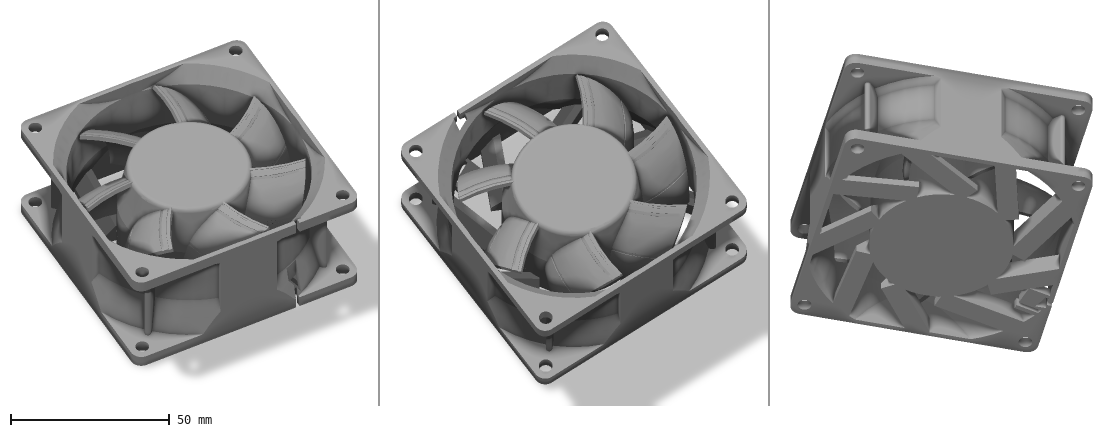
import cadquery as cq
import math

frame_size = 80.2
frame_height = 37.8
frame_corner_radius = 3.6
flange_thickness = 4.0
screw_hole_diameter = 4.3
screw_hole_offset = 35.8
half_size = frame_size / 2
lower_flange_top = flange_thickness
upper_flange_bottom = frame_height - flange_thickness

duct_half_width = 38.5
throat_radius = 38.65
throat_exit_radius = 38.0
duct_mouth_radius = 42.8
inlet_flare_depth = 5.1
outlet_flare_depth = 16.3

duct_outer_radius = 40.0
inlet_outer_radius = 41.8
inlet_outer_start = 31.4
outlet_outer_radius = 43.3

front_panel_half_width = 9.8
front_panel_bevel = 1.9
side_panel_half_width = 10.1

web_thickness = 2.0
web_end_offset = 31.4
web_start_offset = 27.7

cable_channel_bottom = 15.0
cable_channel_top = 19.5
cable_channel_inner_radius = 40.1
cable_slot_center = 17.5
cable_slot_width = 1.2

base_radius = 22.8
base_thickness = 6.4
strut_count = 9
strut_heading = -86.0
strut_near_offset = 18.3
strut_ridge_width = 2.4
strut_width = 6.6
strut_height = 6.4
strut_edge_height = 2.4
strut_end_distance = 10.4

cable_strut_index = 7
guide_rails = [(4.25, 11.2), (12.7, 14.1)]
guide_rail_height = 3.2
guide_rail_start = 33.3

hub_bottom = base_thickness
hub_top = 36.1
hub_taper_bottom = 20.05
hub_bottom_radius = 22.8
hub_top_radius = 19.6
hub_fillet = 1.6
blade_count = 7
blade_tip_radius = 36.7
blade_top = 35.9
blade_bottom = 8.8
blade_thickness = 1.45
blade_camber = 5.6
blade_grooves = [(0.02, 0.04), (0.09, 0.12), (0.53, 0.56)]
blade_groove_depth = 0.25
blade_sections = [(16.0, 1.6, -11.6), (27.7, 5.3, -11.2), (37.7, 11.2, -7.6)]


def revolve_profile(points):
    return cq.Workplane("XZ").polyline(points).close().revolve(360, (0, 0, 0), (0, 1, 0))


def make_flange(bottom):
    return (
        cq.Workplane("XY", origin=(0, 0, bottom))
        .rect(frame_size, frame_size)
        .extrude(flange_thickness)
        .edges("|Z")
        .fillet(frame_corner_radius)
    )


def make_duct_wall():
    return revolve_profile([
        (0, lower_flange_top),
        (outlet_outer_radius, lower_flange_top),
        (duct_outer_radius, outlet_flare_depth),
        (duct_outer_radius, inlet_outer_start),
        (inlet_outer_radius, upper_flange_bottom),
        (0, upper_flange_bottom),
    ])


def make_side_panels():
    height = upper_flange_bottom - lower_flange_top
    level = cq.Workplane("XY", origin=(0, 0, lower_flange_top))
    inner_half_width = front_panel_half_width + front_panel_bevel
    inner_y = half_size - front_panel_bevel
    front_back = (
        level.moveTo(front_panel_half_width, half_size)
        .lineTo(inner_half_width, inner_y)
        .lineTo(inner_half_width, -inner_y)
        .lineTo(front_panel_half_width, -half_size)
        .lineTo(-front_panel_half_width, -half_size)
        .lineTo(-inner_half_width, -inner_y)
        .lineTo(-inner_half_width, inner_y)
        .lineTo(-front_panel_half_width, half_size)
        .close()
        .extrude(height)
    )
    left_right = level.rect(frame_size, 2 * side_panel_half_width).extrude(height)
    return front_back.union(left_right)


def make_corner_web(angle):
    start = web_start_offset * math.sqrt(2)
    end = web_end_offset * math.sqrt(2)
    half = web_thickness / 2
    return (
        cq.Workplane("XY", origin=(0, 0, lower_flange_top))
        .moveTo(start, -half)
        .lineTo(end, -half)
        .threePointArc((end + half, 0), (end, half))
        .lineTo(start, half)
        .close()
        .extrude(upper_flange_bottom - lower_flange_top)
        .rotate((0, 0, 0), (0, 0, 1), angle)
    )


def make_duct_opening():
    inlet_flare_start = frame_height - inlet_flare_depth
    throat = revolve_profile([
        (0, outlet_flare_depth),
        (throat_exit_radius, outlet_flare_depth),
        (throat_radius, inlet_flare_start),
        (throat_radius, frame_height),
        (0, frame_height),
    ])
    outlet_flare = revolve_profile([
        (0, 0),
        (duct_mouth_radius, 0),
        (throat_exit_radius, outlet_flare_depth),
        (0, outlet_flare_depth),
    ])
    inlet_flare = revolve_profile([
        (0, inlet_flare_start),
        (throat_radius, inlet_flare_start),
        (duct_mouth_radius, frame_height),
        (0, frame_height),
    ])
    clip = cq.Workplane("XY").rect(2 * duct_half_width, 2 * duct_half_width).extrude(frame_height)
    return throat.union(outlet_flare.intersect(clip)).union(inlet_flare.intersect(clip))


def make_cable_exit():
    channel = (
        cq.Workplane("XY")
        .center(duct_half_width / 2, (cable_channel_bottom + cable_channel_top) / 2)
        .rect(duct_half_width, cable_channel_top - cable_channel_bottom)
        .extrude(frame_height)
        .cut(cq.Workplane("XY").circle(cable_channel_inner_radius).extrude(frame_height))
    )
    slot = (
        cq.Workplane("XY")
        .center(half_size, cable_slot_center)
        .rect(2 * (half_size - duct_half_width), cable_slot_width)
        .extrude(frame_height)
    )
    return channel.union(slot)


def strut_angle(index):
    return strut_heading + index * 360 / strut_count


def make_strut(index):
    near = -strut_near_offset
    ridge = near - strut_ridge_width
    far = near - strut_width
    return (
        cq.Workplane("YZ", origin=(-duct_mouth_radius, 0, 0))
        .polyline([(near, 0), (near, strut_height), (ridge, strut_height),
                   (far, strut_edge_height), (far, 0)])
        .close()
        .extrude(duct_mouth_radius - strut_end_distance)
        .rotate((0, 0, 0), (0, 0, 1), strut_angle(index))
    )


def make_guide_rail(near, far):
    length = duct_mouth_radius - guide_rail_start
    return (
        cq.Workplane("XY")
        .center(-guide_rail_start - length / 2, -(near + far) / 2)
        .rect(length, far - near)
        .extrude(guide_rail_height)
        .rotate((0, 0, 0), (0, 0, 1), strut_angle(cable_strut_index))
    )


def make_housing():
    body = make_duct_wall().union(make_side_panels())
    body = body.intersect(cq.Workplane("XY").rect(frame_size, frame_size).extrude(frame_height))
    for quarter in range(4):
        body = body.union(make_corner_web(45 + 90 * quarter))
    body = body.union(make_flange(0)).union(make_flange(upper_flange_bottom))
    opening = make_duct_opening()
    body = body.cut(opening)

    stator = cq.Workplane("XY").circle(base_radius).extrude(base_thickness)
    for index in range(strut_count):
        stator = stator.union(make_strut(index))
    for near, far in guide_rails:
        stator = stator.union(make_guide_rail(near, far))
    body = body.union(stator.intersect(opening))

    screw_holes = (
        cq.Workplane("XY")
        .rect(2 * screw_hole_offset, 2 * screw_hole_offset, forConstruction=True)
        .vertices()
        .circle(screw_hole_diameter / 2)
        .extrude(frame_height)
    )
    return body.cut(screw_holes).cut(make_cable_exit())


def make_hub():
    hub = revolve_profile([
        (0, hub_bottom),
        (hub_bottom_radius, hub_bottom),
        (hub_bottom_radius, hub_taper_bottom),
        (hub_top_radius, hub_top),
        (0, hub_top),
    ])
    return hub.faces(">Z").edges().fillet(hub_fillet)


def make_blade_section(distance, leading_y, trailing_y):
    run = leading_y - trailing_y
    drop = blade_top - blade_bottom
    chord = math.hypot(run, drop)
    radius = (chord**2 / 4 + blade_camber**2) / (2 * blade_camber)
    half_angle = math.asin(chord / (2 * radius))
    bulge_angle = math.atan2(run, -drop)
    center_offset = radius - blade_camber
    center_y = (leading_y + trailing_y) / 2 - center_offset * math.cos(bulge_angle)
    center_z = (blade_top + blade_bottom) / 2 - center_offset * math.sin(bulge_angle)

    def arc_point(fraction, depth):
        angle = bulge_angle + half_angle * (2 * fraction - 1)
        reach = radius - depth
        return (center_y + reach * math.cos(angle), center_z + reach * math.sin(angle))

    def add_arc(outline, start, end, depth):
        return outline.threePointArc(arc_point((start + end) / 2, depth), arc_point(end, depth))

    outline = cq.Workplane("YZ", origin=(distance, 0, 0)).moveTo(*arc_point(0, 0))
    position = 0
    for groove_start, groove_end in blade_grooves:
        outline = add_arc(outline, position, groove_start, 0)
        outline = outline.lineTo(*arc_point(groove_start, blade_groove_depth))
        outline = add_arc(outline, groove_start, groove_end, blade_groove_depth)
        outline = outline.lineTo(*arc_point(groove_end, 0))
        position = groove_end
    outline = add_arc(outline, position, 1, 0).lineTo(*arc_point(1, blade_thickness))
    return add_arc(outline, 1, 0, blade_thickness).close().val()


def make_blade():
    sections = [make_blade_section(*section) for section in blade_sections]
    blade = cq.Workplane(cq.Solid.makeLoft(sections))
    sweep = cq.Workplane("XY").circle(blade_tip_radius).extrude(frame_height)
    return blade.intersect(sweep)


def make_rotor():
    rotor = make_hub()
    blade = make_blade()
    for index in range(blade_count):
        rotor = rotor.union(blade.rotate((0, 0, 0), (0, 0, 1), index * 360 / blade_count))
    return rotor


housing = make_housing()
rotor = make_rotor()
result = cq.Compound.makeCompound([housing.solids().val(), rotor.solids().val()])